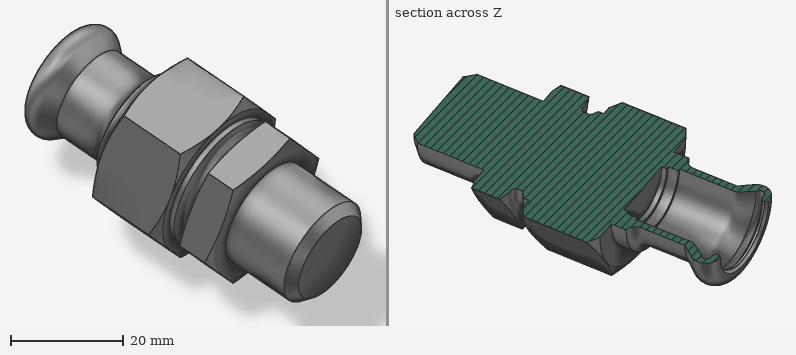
import cadquery as cq
import math

total_length = 63.5

bead_radius = 2.8
bead_taper_start = 4.45
bead_taper_end = 6.9
mouth_radius = 17.6 / 2
tube_radius = 18.2 / 2
tube_end = 15.95
collar_radius = 22.0 / 2
collar_start = 18.05

lip_radius = 8.0
lip_chamfer_radial = 0.45
lip_chamfer_depth = 0.6
lip_end = 1.0
groove_arc_radius = 1.3
groove_cone_start = 3.25
groove_cone_start_radius = 9.6
groove_cone_end = 5.65
groove_cone_end_radius = 15.8 / 2
bore_radius = 15.2 / 2
bore_start = 6.9
bore_end = 18.0
stop_radius = 14.15 / 2
stop_end = 20.0
floor_radius = 13.0 / 2
floor_depth = 21.0

nut_start = 21.1
nut_end = 37.0
nut_corners = 34.7
nut_chamfer_angle = 30.0

ring_radius = 26.4 / 2
ring_end = 38.1
ring_cone_end = 38.7
ring_cone_radius = 12.2
neck_radius = 23.4 / 2
neck_start = 39.45
neck_end = 40.1

hex_start = 40.95
hex_end = 47.95
hex_corners = 31.2
hex_chamfer_angle = 15.0

spigot_radius = 20.95 / 2
spigot_chamfer = 1.85


def revolve_about_x(profile):
    """Revolve a closed half profile drawn as (x, radius) about the X axis."""
    return profile.close().revolve(360, (0, 0, 0), (1, 0, 0))


def chamfered_hexagon(start, end, corners, chamfer_angle):
    """Hexagon along X, flats facing +/-Z, its corners cut by a cone at each end."""
    corner_radius = corners / 2
    flat_radius = corner_radius * math.cos(math.pi / 6)
    chamfer_depth = (corner_radius - flat_radius) * math.tan(math.radians(chamfer_angle))
    prism = cq.Workplane("YZ").workplane(offset=start).polygon(6, corners).extrude(end - start)
    envelope = revolve_about_x(
        cq.Workplane("XY")
        .moveTo(start, 0)
        .lineTo(start, flat_radius)
        .lineTo(start + chamfer_depth, corner_radius)
        .lineTo(end - chamfer_depth, corner_radius)
        .lineTo(end, flat_radius)
        .lineTo(end, 0)
    )
    return prism.intersect(envelope)


def turned_body():
    """Solid of revolution: bead, tube, collar, ring, neck and spigot."""
    taper_offset = bead_taper_start - bead_radius
    taper_radius = mouth_radius + math.sqrt(bead_radius**2 - taper_offset**2)
    bead_top = (bead_radius, mouth_radius + bead_radius)
    hex_fillet = hex_start - neck_end
    return revolve_about_x(
        cq.Workplane("XY")
        .lineTo(0, mouth_radius)
        .threePointArc(bead_top, (bead_taper_start, taper_radius))
        .lineTo(bead_taper_end, tube_radius)
        .lineTo(tube_end, tube_radius)
        .tangentArcPoint((collar_start, collar_radius), relative=False)
        .lineTo(nut_start, collar_radius)
        .lineTo(nut_start, ring_radius)
        .lineTo(ring_end, ring_radius)
        .lineTo(ring_cone_end, ring_cone_radius)
        .tangentArcPoint((neck_start, neck_radius), relative=False)
        .lineTo(neck_end, neck_radius)
        .tangentArcPoint((hex_start, neck_radius + hex_fillet), relative=False)
        .lineTo(hex_start, spigot_radius)
        .lineTo(total_length - spigot_chamfer, spigot_radius)
        .lineTo(total_length, spigot_radius - spigot_chamfer)
        .lineTo(total_length, 0)
    )


def socket_bore():
    """Blind stepped bore with a seal groove inside the bead, behind a chamfered lip."""
    groove_front = bead_radius - groove_arc_radius
    groove_roof = (bead_radius, mouth_radius + groove_arc_radius)
    return revolve_about_x(
        cq.Workplane("XY")
        .lineTo(0, lip_radius + lip_chamfer_radial)
        .lineTo(lip_chamfer_depth, lip_radius)
        .lineTo(lip_end, lip_radius)
        .lineTo(groove_front, mouth_radius)
        .threePointArc(groove_roof, (groove_cone_start, groove_cone_start_radius))
        .lineTo(groove_cone_end, groove_cone_end_radius)
        .tangentArcPoint((bore_start, bore_radius), relative=False)
        .lineTo(bore_end, bore_radius)
        .lineTo(bore_end, stop_radius)
        .lineTo(stop_end, stop_radius)
        .lineTo(stop_end, floor_radius)
        .lineTo(floor_depth, floor_radius)
        .lineTo(floor_depth, 0)
    )


union_nut = chamfered_hexagon(nut_start, nut_end, nut_corners, nut_chamfer_angle)
fixed_hexagon = chamfered_hexagon(hex_start, hex_end, hex_corners, hex_chamfer_angle)

result = turned_body().union(union_nut).union(fixed_hexagon).cut(socket_bore())